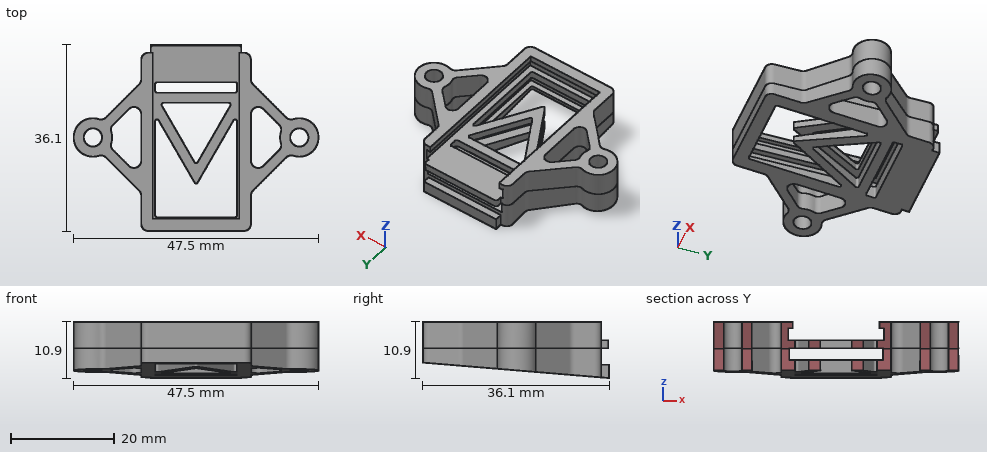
import cadquery as cq
import math

housing_width = 21.3
housing_front = -18.15
housing_back = 16.45
housing_top = 5.15
outer_radius = 1.4

boss_spacing = 40.0
boss_radius = 3.75
screw_diameter = 3.5
arm_reach = 21.35
arm_width = 2.0
window_reach = arm_reach - arm_width * math.sqrt(2)
window_boss_blend = 1.25

opening_width = 16.75
opening_front = -15.75
lip_thickness = 1.3
deck_thickness = 1.6
upper_cavity_width = 18.5
front_wall = 1.5
cavity_front = housing_front + front_wall

lower_cavity_width = 18.1
floor_top = -2.25

tab_width = 17.6
upper_tab_back = housing_back + 1.35
upper_tab_radius = 0.5
lower_tab_back = housing_back + 1.5
lower_tab_top = -3.15
overall_height = 10.94
tab_bottom = housing_top - overall_height

underside_slope = math.tan(math.radians(4.75))

cutout_width = 15.85
cutout_front = -15.45
cutout_radius = 0.35
bar_width = 2.0
slot_back = 10.7
slot_front = slot_back - bar_width
triangle_back = slot_front - bar_width
triangle_side = 13.85
triangle_tip = triangle_back - triangle_side * math.sqrt(3) / 2
chevron_tip = triangle_tip - 2 * bar_width


def block(width, front, back, bottom, top):
    """Box centred on x, between the given y and z limits."""
    return (
        cq.Workplane("XY")
        .box(width, back - front, top - bottom, centered=(True, False, False))
        .translate((0, front, bottom))
    )


def prism(points, bottom, top):
    return cq.Workplane("XY", origin=(0, 0, bottom)).polyline(points).close().extrude(top - bottom)


def cylinder_at(x, radius, bottom, top):
    return cq.Workplane("XY", origin=(x, 0, bottom)).circle(radius).extrude(top - bottom)


def cutouts(bottom, top):
    """Slot, triangle and chevron-topped opening, as cutters."""
    half = cutout_width / 2
    half_side = triangle_side / 2
    shoulder = chevron_tip + half * math.sqrt(3)
    slot = block(cutout_width, slot_front, slot_back, bottom, top)
    triangle = prism([(-half_side, triangle_back), (half_side, triangle_back), (0, triangle_tip)], bottom, top)
    chevron_points = [
        (-half, cutout_front),
        (half, cutout_front),
        (half, shoulder),
        (0, chevron_tip),
        (-half, shoulder),
    ]
    chevron = prism(chevron_points, bottom, top)
    return [cutter.edges("|Z").fillet(cutout_radius) for cutter in (slot, triangle, chevron)]


def make_outline(bottom, top):
    """Solid outline of the housing: body, arms and bosses, with blended corners."""
    half = housing_width / 2
    outline = block(housing_width, housing_front, housing_back, bottom, top)
    diamond = prism([(arm_reach, 0), (0, arm_reach), (-arm_reach, 0), (0, -arm_reach)], bottom, top)
    arm_span = block(boss_spacing, half - arm_reach, arm_reach - half, bottom, top)
    outline = outline.union(diamond.intersect(arm_span))
    for side in (-1, 1):
        outline = outline.union(cylinder_at(side * boss_spacing / 2, boss_radius, bottom, top))
    return outline.edges("|Z").fillet(outer_radius)


def make_window(side, bottom, top):
    """Cutter for the window between the body, the arms and one boss; side is +1 or -1 along x."""
    near = housing_width / 2
    corner = window_reach - near
    window = prism([(side * near, corner), (side * window_reach, 0), (side * near, -corner)], bottom, top)
    window = window.cut(cylinder_at(side * boss_spacing / 2, boss_radius, bottom, top))
    body_edges, boss_edges = ("<X", ">X") if side > 0 else (">X", "<X")
    window = window.edges("|Z").edges(body_edges).fillet(outer_radius)
    return window.edges("|Z").edges(boss_edges).fillet(window_boss_blend)


def make_frame(bottom, top):
    """Housing outline with its windows and screw holes."""
    frame = make_outline(bottom, top)
    for side in (-1, 1):
        frame = frame.cut(make_window(side, bottom, top))
        frame = frame.cut(cylinder_at(side * boss_spacing / 2, screw_diameter / 2, bottom, top))
    return frame


def cut_floor(body, bottom, top):
    for cutter in cutouts(bottom, top):
        body = body.cut(cutter)
    return body


def make_underside_cutter():
    """Wedge below the sloping underside."""
    front_bottom = tab_bottom + underside_slope * (lower_tab_back - housing_front)
    half_span = boss_spacing / 2 + 2 * boss_radius
    return (
        cq.Workplane("YZ")
        .moveTo(housing_front, front_bottom)
        .lineTo(lower_tab_back, tab_bottom)
        .lineTo(housing_front, tab_bottom)
        .close()
        .extrude(half_span, both=True)
    )


def make_lower_tray():
    """Wedge-shaped tray, open at the top and back, with a rear tab below its floor."""
    tray = make_frame(tab_bottom, 0)
    tray = tray.cut(block(lower_cavity_width, cavity_front, housing_back, floor_top, 0))
    tray = tray.union(block(tab_width, housing_back, lower_tab_back, tab_bottom, lower_tab_top))
    tray = cut_floor(tray, tab_bottom, floor_top)
    return tray.cut(make_underside_cutter())


def make_upper_tray():
    """Tray with a flat deck, undercut side grooves below its lips, and a rear tab level with the deck."""
    lip_bottom = housing_top - lip_thickness
    tab = block(tab_width, housing_back, upper_tab_back, 0, deck_thickness)
    tab = tab.edges("|Z and >Y").fillet(upper_tab_radius)
    tray = make_frame(0, housing_top)
    tray = tray.cut(block(upper_cavity_width, cavity_front, housing_back, deck_thickness, lip_bottom))
    tray = tray.cut(block(opening_width, opening_front, housing_back, lip_bottom, housing_top))
    return cut_floor(tray.union(tab), 0, deck_thickness)


lower_tray = make_lower_tray()
upper_tray = make_upper_tray()
result = cq.Compound.makeCompound([lower_tray.val(), upper_tray.val()])